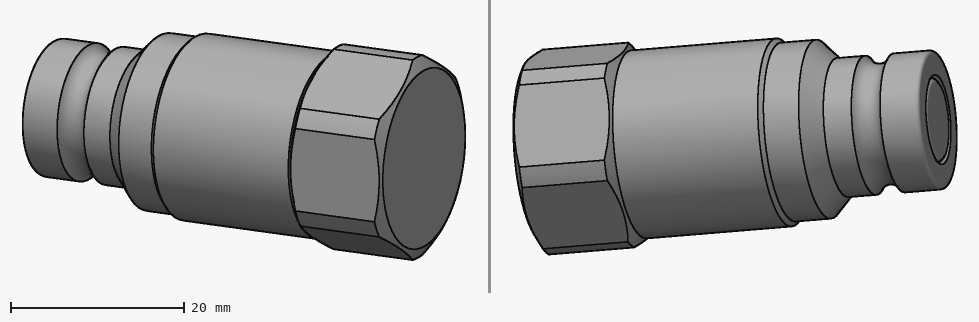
import cadquery as cq
import math

total_length = 48.0

nose_radius = 8.05
nose_edge_round = 0.5
groove_start = 4.65
groove_width = 3.45
groove_depth = 1.05
cone_start = 11.45
collar_radius = 10.35
nipple_end = 18.0

sleeve_radius = 10.9
sleeve_end = 35.95

hex_across_flats = 22.0
hex_corner_radius = 12.05
hex_front_radius = 10.35
hex_rear_radius = 10.55
hex_chamfer_angle = 30.0

poppet_radius = 4.85
poppet_edge_round = 0.6
poppet_length = 9.6
bore_edge_chamfer = 0.35


def rod(start, end, radius):
    """Solid cylinder along X between two positions."""
    return cq.Workplane("YZ", origin=(start, 0, 0)).circle(radius).extrude(end - start)


def revolve_about_x(profile):
    """Revolve a closed XY profile around the X axis."""
    return profile.close().revolve(360, (0, 0, 0), (1, 0, 0))


def make_poppet():
    return rod(0, poppet_length, poppet_radius).faces("<X").edges().fillet(poppet_edge_round)


def make_nipple():
    groove_end = groove_start + groove_width
    groove_middle = groove_start + groove_width / 2
    cone_end = cone_start + collar_radius - nose_radius
    body = revolve_about_x(
        cq.Workplane("XY")
        .lineTo(0, nose_radius)
        .lineTo(groove_start, nose_radius)
        .threePointArc((groove_middle, nose_radius - groove_depth), (groove_end, nose_radius))
        .lineTo(cone_start, nose_radius)
        .lineTo(cone_end, collar_radius)
        .lineTo(nipple_end, collar_radius)
        .lineTo(nipple_end, 0)
    )
    body = body.faces("<X").edges().fillet(nose_edge_round)

    bore = revolve_about_x(
        cq.Workplane("XY")
        .lineTo(0, poppet_radius + bore_edge_chamfer)
        .lineTo(bore_edge_chamfer, poppet_radius)
        .lineTo(poppet_length, poppet_radius)
        .lineTo(poppet_length, 0)
    )
    return body.cut(bore)


def make_sleeve():
    edge_chamfer = sleeve_radius - collar_radius
    return rod(nipple_end, sleeve_end, sleeve_radius).faces("<X").edges().chamfer(edge_chamfer)


def make_hex_end():
    corner_diameter = hex_across_flats / math.cos(math.radians(30))
    prism = (
        cq.Workplane("YZ", origin=(sleeve_end, 0, 0))
        .transformed(rotate=(0, 0, 90))
        .polygon(6, corner_diameter)
        .extrude(total_length - sleeve_end)
    )

    chamfer_slope = math.tan(math.radians(hex_chamfer_angle))
    front_chamfer = (hex_corner_radius - hex_front_radius) * chamfer_slope
    rear_chamfer = (hex_corner_radius - hex_rear_radius) * chamfer_slope
    envelope = revolve_about_x(
        cq.Workplane("XY")
        .moveTo(sleeve_end, 0)
        .lineTo(sleeve_end, hex_front_radius)
        .lineTo(sleeve_end + front_chamfer, hex_corner_radius)
        .lineTo(total_length - rear_chamfer, hex_corner_radius)
        .lineTo(total_length, hex_rear_radius)
        .lineTo(total_length, 0)
    )
    return prism.intersect(envelope)


poppet = make_poppet()
nipple = make_nipple()
sleeve = make_sleeve()
hex_end = make_hex_end()

result = cq.Compound.makeCompound([poppet.val(), nipple.val(), sleeve.val(), hex_end.val()])